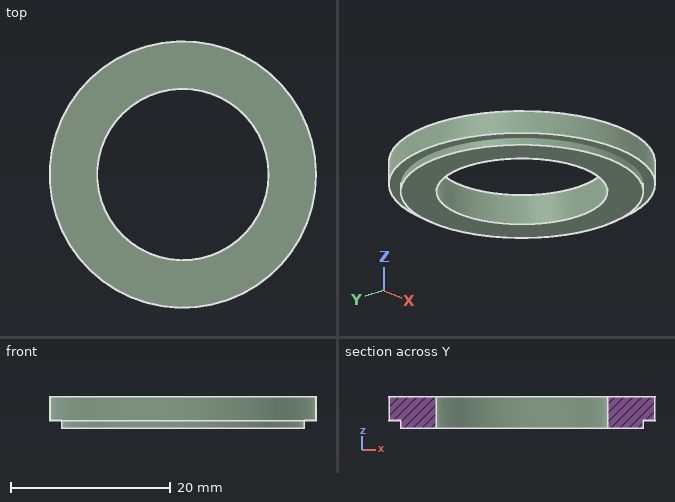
import cadquery as cq

flange_diameter = 33.5
spigot_diameter = 30.5
bore_diameter = 21.5
total_height = 4.0
spigot_height = 1.0
corner_fillet_radius = 0.1

flange_radius = flange_diameter / 2
spigot_radius = spigot_diameter / 2
bore_radius = bore_diameter / 2


def ring_profile():
    """Half section in the XZ plane, with a concave fillet where the spigot meets the flange."""
    return (
        cq.Workplane("XZ")
        .moveTo(bore_radius, 0)
        .lineTo(spigot_radius, 0)
        .lineTo(spigot_radius, spigot_height - corner_fillet_radius)
        .radiusArc((spigot_radius + corner_fillet_radius, spigot_height), corner_fillet_radius)
        .lineTo(flange_radius, spigot_height)
        .lineTo(flange_radius, total_height)
        .lineTo(bore_radius, total_height)
        .close()
    )


result = ring_profile().revolve(360, (0, 0, 0), (0, 1, 0))